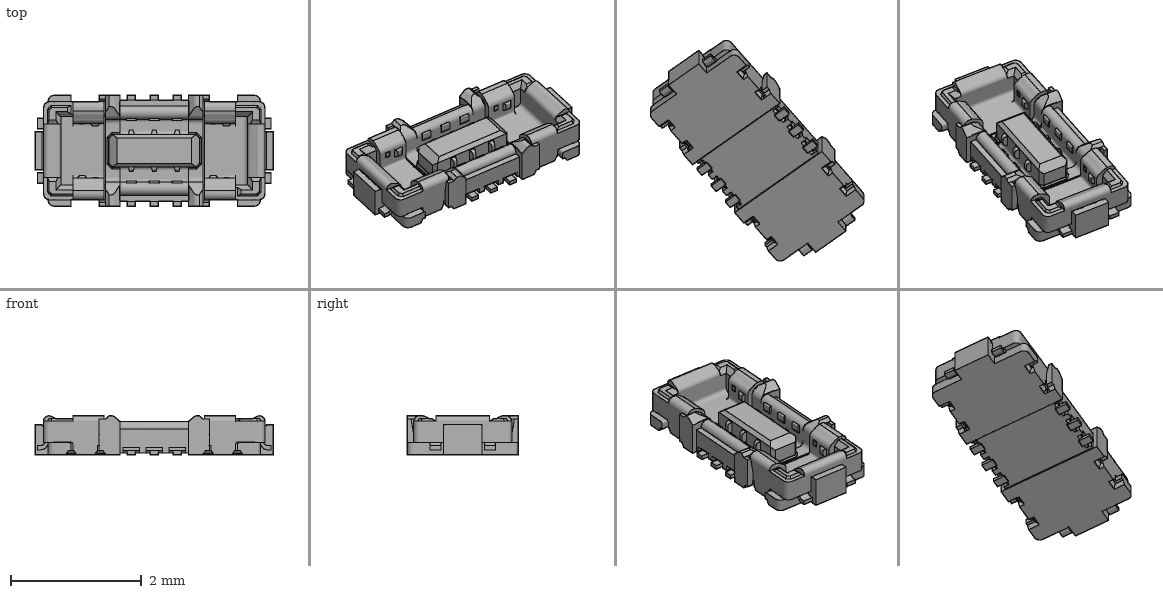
import cadquery as cq
import math

LENGTH = 3.65
WIDTH = 1.7
HEIGHT = 0.6

BODY_X = 1.697
BODY_Y = 0.752
BODY_TOP = 0.515
BASE_X = 1.628
OVERHANG_Z = 0.19
CORNER_R = 0.095

FLOOR_Z = 0.142
CAVITY_X = 1.43
CAVITY_Y = 0.522
RIM_TOP = 0.555
RIM_SLOPE_BOTTOM = 0.467
RIM_SLOPE_RUN = 0.075
RIM_OUT_X = 1.635
RIM_OUT_Y = 0.69
RIM_EDGE = 0.025
RIM_CORNER = 0.055
RIM_END_Y = 0.412
RIM_END_RUN = 0.06

COVER_X0 = 0.765
COVER_X1 = 1.25
COVER_WALL_Y = 0.42
COVER_FOOT_Y = 0.38
COVER_WALL_TOP = 0.445
COVER_LIP_Y = 0.485
COVER_LIP_Z = 0.533
END_COVER_Y = 0.412
END_FOOT_X = 1.365
END_BEND_X = 1.562
END_LIP_X = 1.48
END_LIP_Z = 0.54
END_LIP_DROP = 0.062

POST_X0 = 0.522
POST_X1 = 0.745
FLANGE_X = 0.843
FLANGE_TOP = 0.55
FLANGE_TOP_Y = 0.792
FLANGE_SLOPE_Z = 0.31
POST_CREST_X = 0.657
POST_CREST_W = 0.033
POST_SLOPE_Y = 0.675
RAIL_Y = 0.777
RAIL_TOP = 0.507
RAIL_LEDGE_Z = 0.398
RAIL_LEDGE_Y = 0.683
RAIL_WALL_Y = 0.48
POST_FOOT_Y = 0.405
MIDDLE_FOOT_Y = 0.435
MIDDLE_FLOOR_Z = 0.113
MIDDLE_BOTTOM = 0.025

ISLAND_X = 0.695
ISLAND_Y = 0.25
ISLAND_TOP_X = 0.57
ISLAND_TOP_Y = 0.1915
ISLAND_TOP = 0.51
ISLAND_END_Z = 0.4
ISLAND_SIDE_Z = 0.453
ISLAND_CORNER = 0.055
ISLAND_FILLET = 0.055
SKIRT = 0.03
SKIRT_CORNER = 0.073
SKIRT_BEVEL = 0.022

PITCH = 0.3522
LEAD_W = 0.125
LEAD_TOP = 0.065
LEAD_ROOT_Y = 0.657
RAIL_BUMP_Y = 0.46
ISLAND_BUMP_Y = 0.318
WINDOW_W = 0.255
WINDOW_TOP = 0.11
WINDOW_DEPTH = 0.055

FOOT_X0 = 1.275
FOOT_ROUND = 0.035
JOINT_W = 0.025
JOINT_TOP = 0.197
JOINT_DEPTH = 0.035
NOTCH_TOP = 0.065
NOTCH_TOP_W = 0.088
NOTCH_BOTTOM_W = 0.168
NOTCH_BACK_Z = 0.02
POST_NOTCH_X = 0.83

PAD_Y = 0.294
PAD_TOP = 0.465
PAD_T = 0.105
PAD_NECK_TOP = 0.445
TERMINAL_X = 1.792
TERMINAL_BEND_X = 1.737
TERMINAL_Y0 = 0.335
TERMINAL_Y1 = 0.5
TERMINAL_BOTTOM = 0.075
TERMINAL_TOP = 0.142


def block(x0, x1, y0, y1, z0, z1):
    return cq.Workplane("XY").box(x1 - x0, y1 - y0, z1 - z0, centered=False).translate((x0, y0, z0))


def along_x(profile, x0, x1):
    """Extrude a closed YZ profile from x0 to x1."""
    return profile.extrude(x1 - x0).translate((x0, 0, 0))


def along_y(profile, y0, y1):
    """Extrude a closed XZ profile from y0 to y1."""
    return profile.extrude(y0 - y1).translate((0, y0, 0))


def both_x(shape):
    return shape.union(shape.mirror("YZ"))


def both_y(shape):
    return shape.union(shape.mirror("XZ"))


def four(shape):
    return both_y(both_x(shape))


def half_turn(shape):
    return shape.union(shape.rotate((0, 0, 0), (0, 0, 1), 180))


def housing():
    upper = block(-BODY_X, BODY_X, -BODY_Y, BODY_Y, OVERHANG_Z, BODY_TOP).edges("|Z").fillet(CORNER_R)
    base = block(-BASE_X, BASE_X, -BODY_Y, BODY_Y, 0, OVERHANG_Z)
    base = base.edges("|Z").fillet(CORNER_R)
    cavity = block(-CAVITY_X, CAVITY_X, -CAVITY_Y, CAVITY_Y, FLOOR_Z, HEIGHT)
    return upper.union(base).union(rim()).cut(lead_in()).cut(cavity)


def lead_in():
    """Sloped widening at the top of the cavity."""
    height = HEIGHT - RIM_SLOPE_BOTTOM
    run = height * RIM_SLOPE_RUN / (RIM_TOP - RIM_SLOPE_BOTTOM)
    return (
        cq.Workplane("XY", origin=(0, 0, RIM_SLOPE_BOTTOM))
        .rect(2 * CAVITY_X, 2 * CAVITY_Y)
        .workplane(offset=height)
        .rect(2 * (CAVITY_X + run), 2 * (CAVITY_Y + run))
        .loft(ruled=True)
    )


def rim():
    """Four raised L-shaped rims at the corners, with bevelled sides and ends."""
    height = RIM_TOP - BODY_TOP
    angle = math.degrees(math.atan(RIM_EDGE / height))
    ring = block(-RIM_OUT_X, RIM_OUT_X, -RIM_OUT_Y, RIM_OUT_Y, 0, height).edges("|Z").chamfer(RIM_CORNER)
    ring = ring.faces("<Z").wires().toPending().extrude(height, taper=angle, combine=False)
    ring = ring.translate((0, 0, BODY_TOP))
    y_keep = cq.Workplane("YZ").polyline([
        (RIM_END_Y, BODY_TOP), (RIM_END_Y + RIM_END_RUN, RIM_TOP), (BODY_Y, RIM_TOP), (BODY_Y, BODY_TOP),
    ]).close()
    y_keep = along_x(y_keep, COVER_X1, BODY_X)
    x_keep = cq.Workplane("XZ").polyline([
        (FOOT_X0, BODY_TOP), (FOOT_X0 + RIM_END_RUN, RIM_TOP), (BODY_X, RIM_TOP), (BODY_X, BODY_TOP),
    ]).close()
    x_keep = along_y(x_keep, -BODY_Y, 0)
    full = ring.intersect(y_keep)
    ended = full.mirror("XZ").intersect(x_keep)
    return half_turn(full.union(ended))


def side_covers():
    foot_r = COVER_WALL_Y - COVER_FOOT_Y
    profile = (
        cq.Workplane("YZ")
        .moveTo(BODY_Y, BODY_TOP)
        .threePointArc((0.725, 0.57), (0.668, HEIGHT))
        .lineTo(0.61, HEIGHT)
        .lineTo(0.555, 0.58)
        .lineTo(COVER_LIP_Y, COVER_LIP_Z)
        .threePointArc((0.438, 0.495), (COVER_WALL_Y, COVER_WALL_TOP))
        .lineTo(COVER_WALL_Y, FLOOR_Z + foot_r)
        .radiusArc((COVER_FOOT_Y, FLOOR_Z), foot_r)
        .lineTo(BODY_Y, FLOOR_Z)
        .close()
    )
    return four(along_x(profile, COVER_X0, COVER_X1))


def end_covers():
    """Rounded covers that fall inward from a bend to a rounded inner lip."""
    round_r = HEIGHT - BODY_TOP
    crest_x = BODY_X - round_r
    bend_z = BODY_TOP + math.sqrt(round_r**2 - (crest_x - END_BEND_X) ** 2)
    profile = (
        cq.Workplane("XZ")
        .moveTo(BODY_X, BODY_TOP)
        .threePointArc((crest_x, HEIGHT), (END_BEND_X, bend_z))
        .lineTo(END_LIP_X, END_LIP_Z)
        .tangentArcPoint((CAVITY_X, END_LIP_Z - END_LIP_DROP), relative=False)
        .lineTo(CAVITY_X, FLOOR_Z)
        .lineTo(BASE_X, FLOOR_Z)
        .lineTo(BASE_X, OVERHANG_Z)
        .lineTo(BODY_X, OVERHANG_Z)
        .close()
    )
    return both_x(along_y(profile, -END_COVER_Y, END_COVER_Y))


def end_floor_fillets():
    run = CAVITY_X - END_FOOT_X
    profile = (
        cq.Workplane("XZ")
        .moveTo(END_FOOT_X, FLOOR_Z)
        .radiusArc((CAVITY_X, FLOOR_Z + run), -run)
        .lineTo(CAVITY_X, FLOOR_Z)
        .close()
    )
    return both_x(along_y(profile, -CAVITY_Y, CAVITY_Y))


def posts():
    """Posts with a humped top whose inner end slopes down and bends into the housing wall."""
    outline = (
        cq.Workplane("XZ")
        .moveTo(POST_X0, 0)
        .lineTo(POST_X0, RAIL_TOP)
        .lineTo(0.605, 0.58)
        .threePointArc((0.628, 0.593), (POST_CREST_X, HEIGHT))
        .lineTo(POST_CREST_X + POST_CREST_W, HEIGHT)
        .lineTo(POST_X1, FLANGE_TOP)
        .lineTo(POST_X1, 0)
        .close()
    )
    foot_r = RAIL_WALL_Y - POST_FOOT_Y
    section = (
        cq.Workplane("YZ")
        .moveTo(WIDTH / 2, 0)
        .lineTo(WIDTH / 2, HEIGHT)
        .lineTo(POST_SLOPE_Y, HEIGHT)
        .lineTo(0.533, 0.515)
        .threePointArc((0.495, 0.475), (RAIL_WALL_Y, 0.42))
        .lineTo(RAIL_WALL_Y, FLOOR_Z + foot_r)
        .radiusArc((POST_FOOT_Y, FLOOR_Z), foot_r)
        .lineTo(POST_FOOT_Y, 0)
        .close()
    )
    post = along_y(outline, POST_FOOT_Y, WIDTH / 2).intersect(along_x(section, POST_X0, POST_X1))
    return four(post.union(flange()))


def flange():
    """Outer wing of a post, sloped on the side that faces the housing."""
    profile = cq.Workplane("YZ").polyline([
        (WIDTH / 2, 0), (WIDTH / 2, FLANGE_TOP), (FLANGE_TOP_Y, FLANGE_TOP),
        (BODY_Y, FLANGE_SLOPE_Z), (BODY_Y, 0),
    ]).close()
    return along_x(profile, POST_X1, FLANGE_X)


def middle_rails():
    crest_y = (RAIL_LEDGE_Y + RAIL_WALL_Y) / 2
    foot_r = RAIL_WALL_Y - MIDDLE_FOOT_Y
    profile = (
        cq.Workplane("YZ")
        .moveTo(RAIL_Y, MIDDLE_BOTTOM)
        .lineTo(RAIL_Y, RAIL_LEDGE_Z)
        .lineTo(RAIL_LEDGE_Y, RAIL_LEDGE_Z)
        .threePointArc((crest_y, RAIL_TOP), (RAIL_WALL_Y, RAIL_LEDGE_Z))
        .lineTo(RAIL_WALL_Y, MIDDLE_FLOOR_Z + foot_r)
        .radiusArc((MIDDLE_FOOT_Y, MIDDLE_FLOOR_Z), foot_r)
        .lineTo(MIDDLE_FOOT_Y, MIDDLE_BOTTOM)
        .close()
    )
    return both_y(along_x(profile, -POST_X0, POST_X0))


def middle_clearance():
    """Space of the lower middle section: between the rails, above them and below the base."""
    above = block(-POST_X0, POST_X0, -BODY_Y, BODY_Y, MIDDLE_FLOOR_Z, HEIGHT)
    below = block(-POST_X0, POST_X0, -BODY_Y, BODY_Y, 0, MIDDLE_BOTTOM)
    return above.union(below)


def island():
    body = block(-ISLAND_X, ISLAND_X, -ISLAND_Y, ISLAND_Y, MIDDLE_FLOOR_Z, ISLAND_TOP)
    body = body.edges("|Z").chamfer(ISLAND_CORNER)
    end_cut = cq.Workplane("XZ").polyline([
        (ISLAND_X, ISLAND_END_Z), (ISLAND_X, ISLAND_TOP), (ISLAND_TOP_X, ISLAND_TOP),
    ]).close()
    side_cut = cq.Workplane("YZ").polyline([
        (ISLAND_Y, ISLAND_SIDE_Z), (ISLAND_Y, ISLAND_TOP), (ISLAND_TOP_Y, ISLAND_TOP),
    ]).close()
    body = body.cut(both_x(along_y(end_cut, -ISLAND_Y, ISLAND_Y)))
    return body.cut(both_y(along_x(side_cut, -ISLAND_X, ISLAND_X)))


def island_foot():
    """Sloped skirt at the island's ends and hollow fillets along its middle."""
    skirt_x = ISLAND_X + SKIRT
    skirt_y = ISLAND_Y + SKIRT
    skirt = block(-skirt_x, skirt_x, -skirt_y, skirt_y, FLOOR_Z, FLOOR_Z + SKIRT)
    skirt = skirt.edges("|Z").chamfer(SKIRT_CORNER).faces(">Z").edges().chamfer(SKIRT_BEVEL)
    ends = skirt.cut(block(-POST_X0, POST_X0, -skirt_y, skirt_y, FLOOR_Z, FLOOR_Z + SKIRT))
    strip = (
        cq.Workplane("YZ")
        .moveTo(ISLAND_Y, MIDDLE_FLOOR_Z)
        .lineTo(ISLAND_Y + ISLAND_FILLET, MIDDLE_FLOOR_Z)
        .radiusArc((ISLAND_Y, MIDDLE_FLOOR_Z + ISLAND_FILLET), ISLAND_FILLET)
        .close()
    )
    return ends.union(both_y(along_x(strip, -POST_X0, POST_X0)))


def contact_bump(x, tip_y, root_y, z0, z1, root_w, tip_w, edge_r):
    """Contact dimple that narrows towards its tip (smaller Y), with rounded upper and lower tip edges."""
    plan = cq.Workplane("XY", origin=(x, 0, z0)).polyline([
        (-root_w / 2, root_y), (-tip_w / 2, tip_y), (tip_w / 2, tip_y), (root_w / 2, root_y),
    ]).close()
    return plan.extrude(z1 - z0).edges("|X and <Y").fillet(edge_r)


def lead_contacts():
    """One row of leads, rail dimples and island dimples on each side."""
    row = cq.Workplane("XY")
    for x in (-PITCH, 0, PITCH):
        row = row.add(block(x - LEAD_W / 2, x + LEAD_W / 2, LEAD_ROOT_Y, WIDTH / 2, 0, LEAD_TOP))
        row = row.add(contact_bump(x, RAIL_BUMP_Y, RAIL_LEDGE_Y - 0.11, 0.32, 0.45, 0.155, 0.155, 0.015))
        row = row.add(contact_bump(x, -ISLAND_BUMP_Y, -ISLAND_Y, 0.255, 0.43, 0.095, 0.05, 0.055))
    return both_y(row.combine())


def cover_bumps():
    """Contact dimples of the side covers: a wide one beside a small one, the same after a half turn."""
    bumps = cq.Workplane("XY")
    for wide_x, small_x in ((-0.905, -1.11), (1.105, 0.9)):
        wide = contact_bump(wide_x, COVER_FOOT_Y, COVER_WALL_Y, 0.29, 0.415, 0.145, 0.08, 0.033)
        small = block(small_x - 0.035, small_x + 0.035, COVER_WALL_Y - 0.01, COVER_WALL_Y, 0.35, 0.438)
        bumps = bumps.add(wide).add(small)
    return half_turn(bumps.combine())


def feet():
    foot = block(FOOT_X0, BASE_X, CAVITY_Y, WIDTH / 2, 0, OVERHANG_Z)
    foot = foot.edges("|Z and >X and >Y").fillet(CORNER_R)
    foot = foot.edges("|Y and <X and >Z").fillet(FOOT_ROUND)
    return four(foot)


def joints():
    """Narrow slots that part the housing side from the feet and from the posts."""
    y0 = BODY_Y - JOINT_DEPTH
    at_foot = block(FOOT_X0 - JOINT_W, BASE_X - CORNER_R, y0, BODY_Y, 0, JOINT_TOP)
    at_foot = at_foot.edges("|Y and <X and >Z").fillet(FOOT_ROUND)
    at_post = block(POST_X1, FLANGE_X + JOINT_W, y0, BODY_Y, 0, JOINT_TOP)
    at_post = at_post.edges("|Y and >X and >Z").fillet(FOOT_ROUND)
    return four(at_foot.union(at_post))


def bottom_notches():
    """Trapezoidal notches below the joints, with a sloped back."""
    back_y = BODY_Y - JOINT_DEPTH
    deep_y = back_y - (NOTCH_TOP - NOTCH_BACK_Z)
    back = cq.Workplane("YZ").polyline([
        (WIDTH / 2, 0), (WIDTH / 2, NOTCH_TOP), (back_y, NOTCH_TOP), (deep_y, NOTCH_BACK_Z), (deep_y, 0),
    ]).close()
    back = along_x(back, 0, LENGTH / 2)
    notches = cq.Workplane("XY")
    for x in (FOOT_X0, POST_NOTCH_X):
        outline = cq.Workplane("XZ").polyline([
            (x - NOTCH_BOTTOM_W / 2, 0), (x - NOTCH_TOP_W / 2, NOTCH_TOP),
            (x + NOTCH_TOP_W / 2, NOTCH_TOP), (x + NOTCH_BOTTOM_W / 2, 0),
        ]).close()
        notches = notches.add(along_y(outline, 0, WIDTH / 2).intersect(back))
    return four(notches.combine())


def lead_windows():
    """Recesses above the leads, deepening below the lead tops."""
    back_y = RAIL_Y - WINDOW_DEPTH
    profile = cq.Workplane("YZ").polyline([
        (RAIL_Y, MIDDLE_BOTTOM), (RAIL_Y, WINDOW_TOP), (back_y, WINDOW_TOP), (back_y, LEAD_TOP),
        (back_y - (LEAD_TOP - MIDDLE_BOTTOM), MIDDLE_BOTTOM),
    ]).close()
    window = along_x(profile, -WINDOW_W / 2, WINDOW_W / 2)
    windows = cq.Workplane("XY")
    for x in (-PITCH, 0, PITCH):
        windows = windows.add(window.translate((x, 0, 0)))
    return both_y(windows.combine())


def floor_grooves():
    """Gap between the covers' floor and the posts."""
    return both_x(block(POST_X1, COVER_X0, -CAVITY_Y, CAVITY_Y, FLOOR_Z - JOINT_W, FLOOR_Z))


def end_pads():
    pad = block(LENGTH / 2 - PAD_T, LENGTH / 2, -PAD_Y, PAD_Y, 0, PAD_TOP)
    neck = block(BASE_X - 0.035, LENGTH / 2 - PAD_T, -PAD_Y, PAD_Y, 0, PAD_NECK_TOP)
    return both_x(pad.union(neck))


def end_terminals():
    """Hooked tails that leave the base below the overhang."""
    profile = (
        cq.Workplane("XZ")
        .moveTo(TERMINAL_X, TERMINAL_BOTTOM)
        .lineTo(TERMINAL_X, TERMINAL_TOP)
        .lineTo(TERMINAL_BEND_X, TERMINAL_TOP)
        .threePointArc((1.695, 0.16), (1.67, OVERHANG_Z))
        .lineTo(BASE_X - 0.035, OVERHANG_Z)
        .lineTo(BASE_X - 0.035, 0.168)
        .lineTo(BASE_X, 0.168)
        .threePointArc((1.665, 0.105), (TERMINAL_BEND_X, TERMINAL_BOTTOM))
        .close()
    )
    return four(along_y(profile, TERMINAL_Y0, TERMINAL_Y1))


result = housing().cut(joints()).union(feet()).cut(middle_clearance())
raised_parts = (
    side_covers(), end_covers(), end_floor_fillets(), posts(), middle_rails(), island(), island_foot(),
    cover_bumps(), end_pads(), end_terminals(),
)
for part in raised_parts:
    result = result.union(part)
for recess in (bottom_notches(), lead_windows(), floor_grooves()):
    result = result.cut(recess)
result = result.union(lead_contacts())